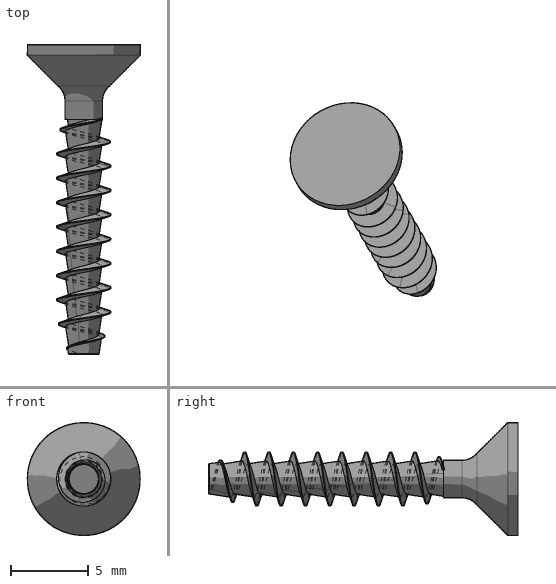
import cadquery as cq
import math


length = 20.0

head_diameter = 7.3
head_radius = head_diameter / 2
rim_depth = 0.68
rim_round = 0.05
neck_start = 2.65
neck_start_radius = 1.68
neck_end = 3.62
shank_radius = 1.22
shank_end = 4.82

core_minor_diameter = 1.95
core_minor = core_minor_diameter / 2
core_major = 1.2
core_taper_length = 1.48
core_inner_radius = 0.85
core_trim_radius = 1.25
tip_radius = 1.0
tip_chamfer = 0.05
tip_taper = 0.15
tip_face_radius = tip_radius - tip_chamfer

counted_turns = 7
counted_turns_length = 11.0
pitch = counted_turns_length / counted_turns
crest_diameter = 3.5
crest_radius = crest_diameter / 2
crest_half_width = 0.03
flank_slope = 0.28
root_radius = 0.9
start_crest_radius = 1.38
run_in_end = 6.4
run_out_start = 17.7
run_out_end = 19.75
end_crest_radius = 1.05
minus_x_depth = 5.48

span_steps = 6


def make_head_and_shank():
    """Revolve the head, neck fillet, shank and the slim inner core."""
    neck_length = neck_end - neck_start
    neck_flare = neck_start_radius - shank_radius
    neck_radius = (neck_length**2 + neck_flare**2) / (2 * neck_flare)
    half_angle = math.asin(neck_length / neck_radius) / 2
    neck_mid_radius = shank_radius + neck_radius * (1 - math.cos(half_angle))
    neck_mid_depth = neck_end - neck_radius * math.sin(half_angle)
    profile = (
        cq.Workplane("XY")
        .lineTo(head_radius, 0)
        .lineTo(head_radius, -rim_depth)
        .lineTo(neck_start_radius, -neck_start)
        .threePointArc((neck_mid_radius, -neck_mid_depth), (shank_radius, -neck_end))
        .lineTo(shank_radius, -shank_end)
        .lineTo(core_minor, -shank_end)
        .lineTo(core_minor, -(length - tip_chamfer))
        .lineTo(tip_face_radius, -length)
        .lineTo(0, -length)
        .close()
    )
    body = profile.revolve(360, (0, 0, 0), (0, 1, 0))
    rim_edge = cq.selectors.BoxSelector(
        (-head_radius, -rim_depth - rim_round, -head_radius),
        (head_radius, -rim_depth + rim_round, head_radius),
    )
    return body.edges(rim_edge).fillet(rim_round)


def helix_point(depth, radius, offset):
    """Point on the helix passing a depth, shifted along the axis by an offset."""
    angle = 2 * math.pi * (depth - minus_x_depth) / pitch
    return cq.Vector(-radius * math.cos(angle), -depth - offset, -radius * math.sin(angle))


def helical_solid(section, stations):
    """Solid whose cross-section is the list of (radius, offset) corners section(depth).

    The stations are depths where the radius law changes; each stretch between
    them is divided into spans of at most half a turn.
    """
    half_turn = pitch / 2
    faces = []
    for stretch_start, stretch_end in zip(stations, stations[1:]):
        span_count = math.ceil((stretch_end - stretch_start) / half_turn)
        span = (stretch_end - stretch_start) / span_count
        for i in range(span_count):
            faces += helical_span_faces(section, stretch_start + i * span, span)
    for depth in (stations[0], stations[-1]):
        corners = [helix_point(depth, *corner) for corner in section(depth)]
        faces.append(cq.Face.makeFromWires(cq.Wire.makePolygon(corners, close=True)))
    return cq.Workplane(cq.Solid.makeSolid(cq.Shell.makeShell(faces)).fix())


def helical_span_faces(section, start, span):
    """Side faces of one span, ruled between neighbouring corner helices."""
    depths = [start + span * i / span_steps for i in range(span_steps + 1)]
    sections = [section(depth) for depth in depths]
    rails = []
    for corners in zip(*sections):
        points = [helix_point(depth, *corner) for depth, corner in zip(depths, corners)]
        rails.append(cq.Edge.makeSpline(points))
    return [cq.Face.makeRuledSurface(a, b) for a, b in zip(rails, rails[1:] + rails[:1])]


def crest_at(depth):
    """Crest radius: rises along the run-in, stays level, then falls along the run-out."""
    run_in = (depth - shank_end) / (run_in_end - shank_end)
    run_out = (depth - run_out_start) / (run_out_end - run_out_start)
    rising = start_crest_radius + (crest_radius - start_crest_radius) * run_in
    falling = crest_radius - (crest_radius - end_crest_radius) * run_out
    return min(rising, crest_radius, falling)


def ridge_section(depth):
    """Narrow trapezium of the thread, rooted inside the core."""
    crest = crest_at(depth)
    root_half_width = crest_half_width + flank_slope * (crest - root_radius)
    return [
        (root_radius, -root_half_width),
        (crest, -crest_half_width),
        (crest, crest_half_width),
        (root_radius, root_half_width),
    ]


def core_section(depth):
    """Wedge that narrows towards the next turn, ending just inside the slim core."""
    taper = (core_major - core_minor) / core_taper_length
    wedge_end = (core_taper_length + pitch) / 2
    wedge_end_radius = core_major - taper * wedge_end
    return [
        (core_inner_radius, 0),
        (core_major, 0),
        (wedge_end_radius, wedge_end),
        (core_inner_radius, wedge_end),
    ]


def make_tapered_core():
    """Helical core, trimmed by the end face and by the cone at the tip."""
    core_start = shank_end - pitch
    taper_start = length - tip_chamfer - (core_trim_radius - tip_radius) / tip_taper
    envelope = (
        cq.Workplane("XY")
        .moveTo(0, -core_start)
        .lineTo(core_trim_radius, -core_start)
        .lineTo(core_trim_radius, -taper_start)
        .lineTo(tip_radius, -(length - tip_chamfer))
        .lineTo(tip_face_radius, -length)
        .lineTo(0, -length)
        .close()
        .revolve(360, (0, 0, 0), (0, 1, 0))
    )
    return helical_solid(core_section, [core_start, length + pitch / 2]).intersect(envelope)


ridge = helical_solid(ridge_section, [shank_end, run_in_end, run_out_start, run_out_end])
body = make_head_and_shank().union(make_tapered_core()).union(ridge)
result = cq.Workplane(body.solids().val())